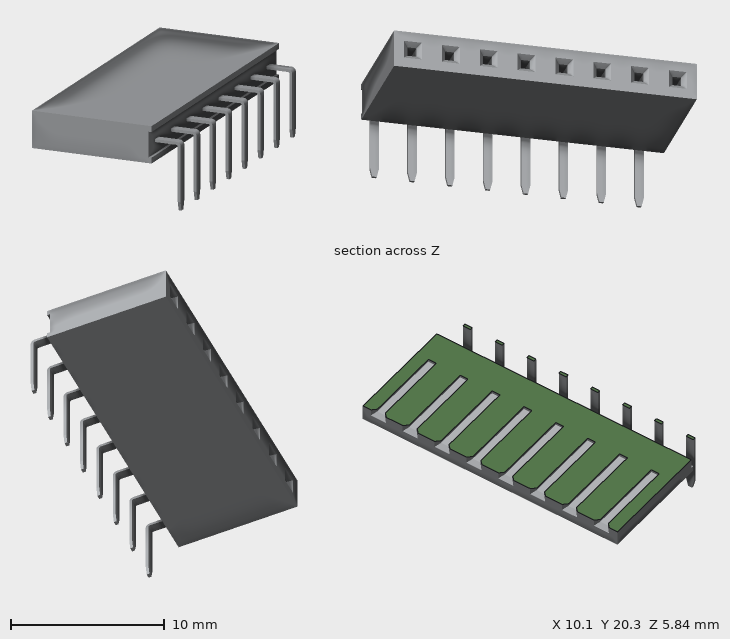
import cadquery as cq

contact_count = 8
pitch = 2.54
body_length = 8.5
body_width = contact_count * pitch
body_height = 2.54
body_mid_z = body_height / 2

channel_depth = 0.2
channel_lip = 0.4

funnel_mouth = 1.2
funnel_depth = 0.3
bore_size = 0.6
bore_depth = 6.0

pin_width = 0.6
pin_thickness = 0.2
pin_rear_x = 10.13
pin_bottom_z = -3.3
bend_outer_radius = 0.3
bend_inner_radius = bend_outer_radius - pin_thickness
tip_length = 0.6
tip_width = 0.3
pin_reach_in_bore = 1.0
pin_front_x = bore_depth - pin_reach_in_bore


def make_body():
    """Housing with the rear channel; the mating face lies on X = 0."""
    body = cq.Workplane("XY").box(body_length, body_width, body_height, centered=(False, True, False))
    channel = (
        cq.Workplane("XY")
        .box(channel_depth, body_width, body_height - 2 * channel_lip, centered=(False, True, True))
        .translate((body_length - channel_depth, 0, body_mid_z))
    )
    return body.cut(channel)


def make_socket(y):
    """Cutting volume of one socket: tapered mouth plus straight bore, centred on the body height."""
    mating_face = cq.Workplane("YZ", origin=(0, y, body_mid_z))
    funnel = (
        mating_face.rect(funnel_mouth, funnel_mouth)
        .workplane(offset=funnel_depth)
        .rect(bore_size, bore_size)
        .loft()
    )
    bore = mating_face.rect(bore_size, bore_size).extrude(bore_depth)
    return funnel.union(bore)


def make_pin(y):
    """L-shaped flat pin with a rounded bend and a tapered tip."""
    top_z = body_mid_z + pin_thickness / 2
    strip = (
        cq.Workplane("XZ", origin=(0, y + pin_width / 2, 0))
        .moveTo(pin_front_x, top_z)
        .lineTo(pin_rear_x - bend_outer_radius, top_z)
        .radiusArc((pin_rear_x, top_z - bend_outer_radius), bend_outer_radius)
        .lineTo(pin_rear_x, pin_bottom_z)
        .lineTo(pin_rear_x - pin_thickness, pin_bottom_z)
        .lineTo(pin_rear_x - pin_thickness, top_z - bend_outer_radius)
        .radiusArc((pin_rear_x - bend_outer_radius, top_z - pin_thickness), -bend_inner_radius)
        .lineTo(pin_front_x, top_z - pin_thickness)
        .close()
        .extrude(pin_width)
    )
    leg_outline = (
        cq.Workplane("YZ", origin=(0, y, 0))
        .moveTo(-pin_width / 2, top_z)
        .lineTo(-pin_width / 2, pin_bottom_z + tip_length)
        .lineTo(-tip_width / 2, pin_bottom_z)
        .lineTo(tip_width / 2, pin_bottom_z)
        .lineTo(pin_width / 2, pin_bottom_z + tip_length)
        .lineTo(pin_width / 2, top_z)
        .close()
        .extrude(pin_rear_x)
    )
    return strip.intersect(leg_outline)


result = make_body()
for index in range(contact_count):
    contact_y = (index - (contact_count - 1) / 2) * pitch
    result = result.cut(make_socket(contact_y)).union(make_pin(contact_y))